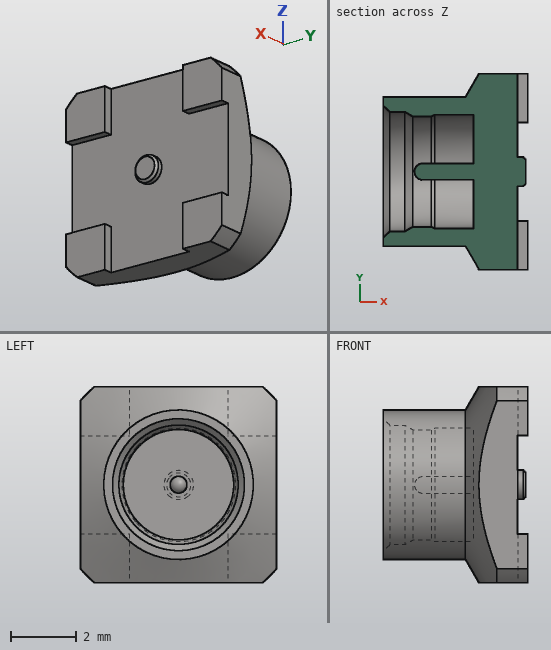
import cadquery as cq
import math

flange_side = 6.0
half_side = flange_side / 2
total_length = 4.42

barrel_radius = 2.285
barrel_length = 2.515
flare_angle = 30.0
corner_radius = 3.95
flare_length = (corner_radius - barrel_radius) * math.tan(math.radians(flare_angle))

mouth_radius = 2.015
entry_radius = 1.825
throat_radius = 1.685
cavity_radius = 1.735
lead_in_end = 0.205
entry_end = 0.665
throat_start = 0.9
throat_end = 1.475
cavity_start = 1.57
socket_depth = 2.76

slot_width = 3.0
slot_depth = 0.31

pin_radius = 0.26
pin_tip = 0.955
stub_radius = 0.45
stub_length = 0.25
stub_chamfer = 0.085


def revolve_about_axis(outline):
    """Revolve an (x, radius) outline about the X axis."""
    return outline.close().revolve(360, (0, 0, 0), (1, 0, 0))


def make_body():
    """Barrel and flare, trimmed to a square flange with rounded corners."""
    flared_body = revolve_about_axis(
        cq.Workplane("XY")
        .lineTo(0, barrel_radius)
        .lineTo(barrel_length, barrel_radius)
        .lineTo(barrel_length + flare_length, corner_radius)
        .lineTo(total_length, corner_radius)
        .lineTo(total_length, 0)
    )
    square_bar = cq.Workplane("XY").box(
        total_length, flange_side, flange_side, centered=(False, True, True)
    )
    return flared_body.intersect(square_bar)


def make_socket():
    """Stepped bore, slightly undercut behind the throat."""
    return revolve_about_axis(
        cq.Workplane("XY")
        .lineTo(0, mouth_radius)
        .lineTo(lead_in_end, entry_radius)
        .lineTo(entry_end, entry_radius)
        .lineTo(throat_start, throat_radius)
        .lineTo(throat_end, throat_radius)
        .lineTo(cavity_start, cavity_radius)
        .lineTo(socket_depth, cavity_radius)
        .lineTo(socket_depth, 0)
    )


def make_slots():
    """Crossed slots in the back face, leaving a foot at each corner."""
    slot_floor = total_length - slot_depth
    slots = cq.Workplane("XY")
    for size_y, size_z in ((slot_width, flange_side), (flange_side, slot_width)):
        slot = cq.Workplane("XY").box(slot_depth, size_y, size_z, centered=(False, True, True))
        slots = slots.add(slot.translate((slot_floor, 0, 0)))
    return slots.combine()


def make_pin():
    """Contact pin with a hemispherical tip, standing on the socket floor."""
    shoulder = pin_tip + pin_radius
    arc_offset = pin_radius * math.sqrt(0.5)
    return revolve_about_axis(
        cq.Workplane("XY")
        .moveTo(pin_tip, 0)
        .threePointArc((shoulder - arc_offset, arc_offset), (shoulder, pin_radius))
        .lineTo(socket_depth, pin_radius)
        .lineTo(socket_depth, 0)
    )


def make_stub():
    """Chamfered solder stub on the floor of the crossed slots."""
    return (
        cq.Workplane("YZ", origin=(total_length - slot_depth, 0, 0))
        .circle(stub_radius)
        .extrude(stub_length)
        .faces(">X")
        .chamfer(stub_chamfer)
    )


result = make_body().cut(make_socket()).cut(make_slots()).union(make_pin()).union(make_stub())